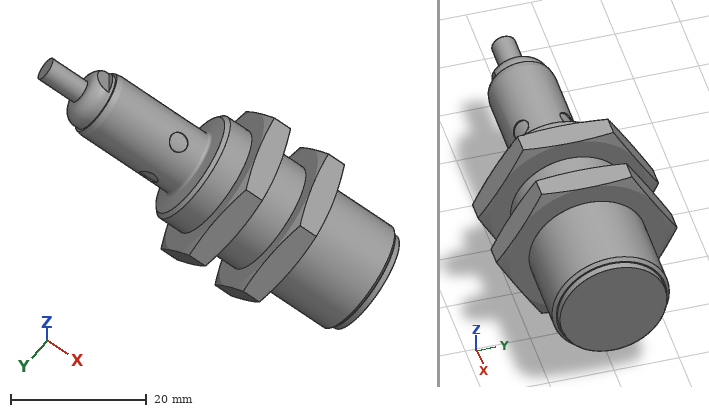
import cadquery as cq
import math

cap_start = 6.37
cap_round_end = 8.67
cap_end = 9.37
collar_end = 10.45
root_start = 26.05
barrel_start = 26.8
barrel_end = 58.37
overall_length = 59.37

cable_radius = 3.7 / 2
cap_radius = 9.4 / 2
collar_radius = 5.05
tube_radius = 10.5 / 2
barrel_radius = 18 / 2
nose_radius = 8.3
nose_tip_radius = 8.2

cap_round = cap_round_end - cap_start
root_fillet = 0.5
barrel_rear_chamfer = (0.6, 0.6)
barrel_front_chamfer = (0.5, 0.5)

flat_offset = 3.73
flat_end = 8.87

window_diameter = 3
window_depth = 0.2
window_position = 21.9
window_angles = (45, 135, 225, 315)

nut_across_flats = 24
nut_thickness = 4
nut_chamfer_angle = 15
nut_positions = (31.4, 41.4)


def turned(profile):
    """Revolve a profile drawn in XY around the X axis."""
    return profile.close().revolve(360, (0, 0, 0), (1, 0, 0))


def turned_body():
    """Cable, rounded cap, tube, barrel and nose as one revolved solid."""
    arc_drop = cap_round * math.sqrt(0.5)
    cap_arc_middle = (cap_round_end - arc_drop, cap_radius - cap_round + arc_drop)
    root_end = root_start + root_fillet
    root_arc_middle = (
        root_start + root_fillet * math.sqrt(0.5),
        tube_radius + root_fillet * (1 - math.sqrt(0.5)),
    )
    rear_length, rear_drop = barrel_rear_chamfer
    front_length, front_drop = barrel_front_chamfer
    profile = (
        cq.Workplane("XY")
        .lineTo(0, cable_radius)
        .lineTo(cap_start, cable_radius)
        .lineTo(cap_start, cap_radius - cap_round)
        .threePointArc(cap_arc_middle, (cap_round_end, cap_radius))
        .lineTo(cap_end, cap_radius)
        .lineTo(cap_end, collar_radius)
        .lineTo(collar_end, tube_radius)
        .lineTo(root_start, tube_radius)
        .threePointArc(root_arc_middle, (root_end, tube_radius + root_fillet))
        .lineTo(barrel_start, barrel_radius - rear_drop)
        .lineTo(barrel_start + rear_length, barrel_radius)
        .lineTo(barrel_end - front_length, barrel_radius)
        .lineTo(barrel_end, barrel_radius - front_drop)
        .lineTo(barrel_end, nose_radius)
        .lineTo(overall_length, nose_tip_radius)
        .lineTo(overall_length, 0)
    )
    return turned(profile)


def cap_flat_cutter():
    """Block that removes the -Y side of the cap beyond the flat."""
    return (
        cq.Workplane("XY")
        .box(flat_end, cap_radius, 2 * cap_radius, centered=(False, False, True))
        .translate((0, -flat_offset - cap_radius, 0))
    )


def window_cutter(angle):
    """Round recess whose floor is concentric with the tube."""
    drill = (
        cq.Workplane("XY")
        .center(window_position, 0)
        .circle(window_diameter / 2)
        .extrude(2 * tube_radius)
    )
    core = cq.Workplane("YZ").circle(tube_radius - window_depth).extrude(root_start)
    return drill.cut(core).rotate((0, 0, 0), (1, 0, 0), angle)


def sensor_body():
    """Turned body with the cap flat and the four indicator windows cut in."""
    body = turned_body().cut(cap_flat_cutter())
    for angle in window_angles:
        body = body.cut(window_cutter(angle))
    return body


def nut(position):
    """Hexagon nut with corners along Y, chamfered on both sides."""
    corner_radius = nut_across_flats / math.sqrt(3)
    face_radius = nut_across_flats / 2
    chamfer_length = (corner_radius - face_radius) * math.tan(math.radians(nut_chamfer_angle))
    hexagon = cq.Workplane("YZ").polygon(6, 2 * corner_radius).extrude(nut_thickness)
    chamfered_disc = turned(
        cq.Workplane("XY")
        .lineTo(0, face_radius)
        .lineTo(chamfer_length, corner_radius)
        .lineTo(nut_thickness - chamfer_length, corner_radius)
        .lineTo(nut_thickness, face_radius)
        .lineTo(nut_thickness, 0)
    )
    bore = cq.Workplane("YZ").circle(barrel_radius).extrude(nut_thickness)
    return hexagon.intersect(chamfered_disc).cut(bore).translate((position, 0, 0))


sensor = sensor_body()
nuts = [nut(position) for position in nut_positions]

result = cq.Compound.makeCompound([sensor.solids().val(), *[item.solids().val() for item in nuts]])